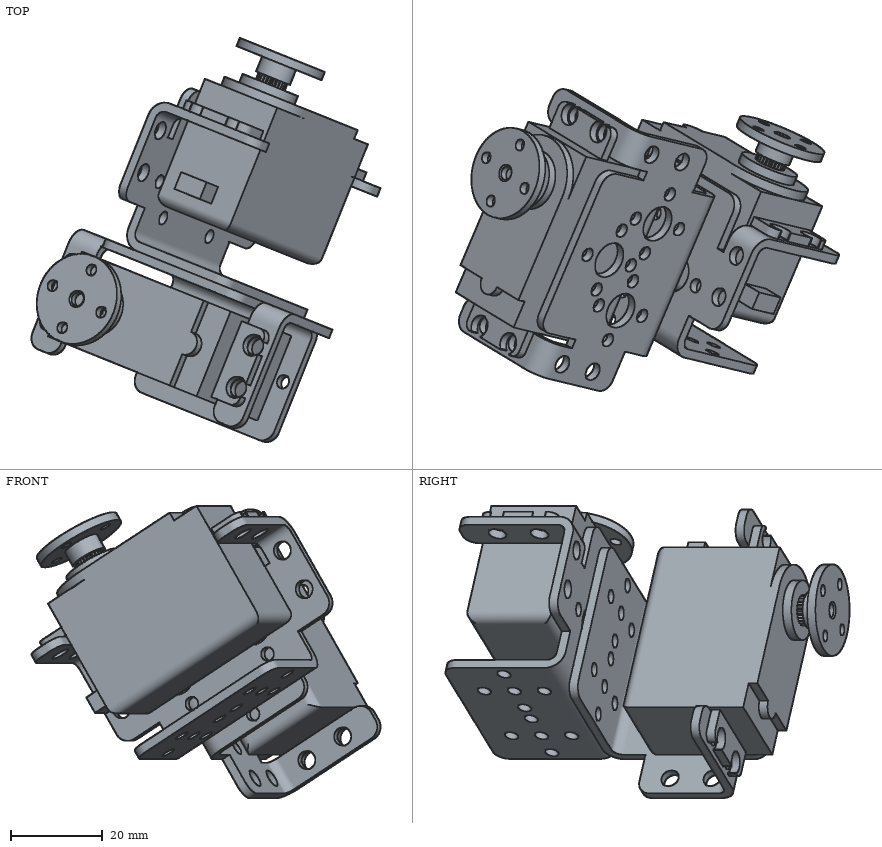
import math

import cadquery as cq


case_length = 40.85
case_width = 19.9
case_height = 29.0
case_fillet = 2.1
shaft_inset = 10.0
case_center_x = case_length / 2 - shaft_inset
cover_thickness = 2.0
cover_end_x = 24.65
cover_boss_diameter = 5.2
cable_block_width = 6.95
cable_block_height = 4.0
cable_block_length = 5.2
cable_block_z = 4.2

lug_top_z = 23.2
lug_thickness = 2.0
lug_span = 54.8
lug_width = 17.8
lug_corner_radius = 1.9
lug_hole_x = 25.4
lug_hole_diameter = 4.75
lug_slot_width = 3.0

collar_diameter = 13.0
collar_height = 2.0
spline_diameter = 6.8
spline_tooth_depth = 0.35
spline_teeth = 24
horn_top_z = 40.1
horn_thickness = 1.9
horn_diameter = 20.0
horn_hub_diameter = 8.0
horn_hub_length = 3.5
horn_hole_diameter = 2.5
horn_hole_radius = 7.0
horn_turn = -5.8
horn_center_hole = 3.0
horn_center_chamfer = 0.35

bracket_center_x = 10.1
sheet = 2.0
bend_radius = 2 * sheet
plate_gap = 2.55
plate_y = case_width / 2 + plate_gap + sheet
plate_width = 38.1
plate_top_z = 26.0
plate_corner_radius = 3.3
tab_span = 57.9
tab_bottom_z = -2.0
tab_corner_radius = 3.0
ear_width = 7.8
ear_end_y = -13.4
ear_top_z = lug_top_z - lug_thickness
relief_start_z = 14.1
flange_bottom_z = -11.4
flange_end_y = -13.7
flange_corner_radius = 3.1
mount_hole_diameter = 4.0
mount_hole_spacing = 9.9
mount_hole_x = 25.1
tab_hole_low_z = 5.0
small_hole_diameter = 3.0
large_hole_diameter = 8.0
ring_radius = 7.0
ring_low_x = 10.4
ring_low_z = 4.5
ring_high_z = 14.2
flange_ring_x = 9.3

tilt_angle = 31.4
turn_angle = 21.9

sides = (-1, 1)


def box(x_range, y_range, z_range):
    """Block between the given limits on each axis."""
    size = [end - start for start, end in (x_range, y_range, z_range)]
    corner = (x_range[0], y_range[0], z_range[0])
    return cq.Workplane("XY").box(*size, centered=False).translate(corner)


def cylinder(diameter, z_range):
    """Cylinder on the shaft axis between two heights."""
    start, end = z_range
    return cq.Workplane("XY").workplane(offset=start).circle(diameter / 2).extrude(end - start)


def ring_points(center, radius):
    """Four points spaced evenly around a center."""
    x, y = center
    return [(x + radius, y), (x, y + radius), (x - radius, y), (x, y - radius)]


def screw_points(x):
    """The four screw positions of the servo, two at each end."""
    return [(i * x, j * mount_hole_spacing / 2) for i in sides for j in sides]


def make_case():
    """Case with its raised cover and cable outlet."""
    half_width = case_width / 2
    case_x = (-shaft_inset, case_length - shaft_inset)
    case_y = (-half_width, half_width)
    case = box(case_x, case_y, (0, case_height))
    case = case.faces("<Z").edges().fillet(case_fillet)

    cover_z = (case_height, case_height + cover_thickness)
    case = case.union(cylinder(case_width, cover_z))
    case = case.union(box((0, cover_end_x), case_y, cover_z))
    case = case.union(cylinder(cover_boss_diameter, cover_z).translate((cover_end_x, 0, 0)))

    block_x = (-shaft_inset - cable_block_length, 0)
    block_y = (-cable_block_width / 2, cable_block_width / 2)
    return case.union(box(block_x, block_y, (cable_block_z, cable_block_z + cable_block_height)))


def make_lugs():
    """Lugs at both ends of the case, each with two holes that open to the lug's end."""
    lug_z = lug_top_z - lug_thickness
    hole_points = screw_points(lug_hole_x)
    slot_length = lug_span / 2 - lug_hole_x
    slot_points = [(x + math.copysign(slot_length / 2, x), y) for x, y in hole_points]
    plane = cq.Workplane("XY").workplane(offset=lug_z)
    lugs = plane.rect(lug_span, lug_width).extrude(lug_thickness).edges("|Z").fillet(lug_corner_radius)
    lugs = lugs.cut(plane.pushPoints(hole_points).circle(lug_hole_diameter / 2).extrude(lug_thickness))
    lugs = lugs.cut(plane.pushPoints(slot_points).rect(slot_length, lug_slot_width).extrude(lug_thickness))
    return lugs.translate((case_center_x, 0, 0))


def make_spline(z_range):
    """Toothed end of the output shaft."""
    start, end = z_range
    outer = spline_diameter / 2
    outline = []
    for i in range(2 * spline_teeth):
        radius = outer - spline_tooth_depth * (i % 2)
        angle = math.pi * i / spline_teeth
        outline.append((radius * math.cos(angle), radius * math.sin(angle)))
    return cq.Workplane("XY").workplane(offset=start).polyline(outline).close().extrude(end - start)


def make_horn():
    """Collar, toothed shaft and round horn, stacked on the cover."""
    disc_z = horn_top_z - horn_thickness
    hub_z = disc_z - horn_hub_length
    collar_z = case_height + cover_thickness
    horn = cylinder(horn_diameter, (disc_z, horn_top_z))
    holes = cq.Workplane("XY").workplane(offset=disc_z).pushPoints(ring_points((0, 0), horn_hole_radius))
    horn = horn.cut(holes.circle(horn_hole_diameter / 2).extrude(horn_thickness))
    horn = horn.rotate((0, 0, 0), (0, 0, 1), horn_turn)
    horn = horn.union(cylinder(horn_hub_diameter, (hub_z, disc_z)))
    horn = horn.cut(cylinder(horn_center_hole, (disc_z, horn_top_z)))
    horn = horn.faces(">Z").edges(cq.selectors.RadiusNthSelector(1)).chamfer(horn_center_chamfer)
    horn = horn.union(make_spline((collar_z, hub_z)))
    return horn.union(cylinder(collar_diameter, (collar_z, collar_z + collar_height)))


def bent_sheet(x_range, plate_end_z, face_z, end_y, corner_radius):
    """Sheet that leaves the plate through a round bend and runs toward -Y with its outer face at face_z."""
    up = 1 if face_z > plate_end_z else -1
    bend_y = plate_y - bend_radius
    bend_z = face_z - up * bend_radius
    inner = bend_radius - sheet
    diagonal = math.sqrt(0.5)
    outline = (
        cq.Workplane("YZ")
        .workplane(offset=x_range[0])
        .moveTo(plate_y, plate_end_z)
        .lineTo(plate_y, bend_z)
        .threePointArc(
            (bend_y + bend_radius * diagonal, bend_z + up * bend_radius * diagonal),
            (bend_y, face_z),
        )
        .lineTo(end_y, face_z)
        .lineTo(end_y, face_z - up * sheet)
        .lineTo(bend_y, face_z - up * sheet)
        .threePointArc(
            (bend_y + inner * diagonal, bend_z + up * inner * diagonal),
            (plate_y - sheet, bend_z),
        )
        .lineTo(plate_y - sheet, plate_end_z)
        .close()
    )
    body = outline.extrude(x_range[1] - x_range[0])
    return body.faces("<Y").edges("|Z").fillet(corner_radius)


def make_bracket():
    """Bent sheet-metal bracket with its hole pattern."""
    half_plate = plate_width / 2
    half_tab = tab_span / 2
    sheet_y = (plate_y - sheet, plate_y)

    plate = box((-half_plate, half_plate), sheet_y, (tab_bottom_z, plate_top_z))
    plate = plate.faces(">Z").edges("|Y").fillet(plate_corner_radius)
    tabs = box((-half_tab, half_tab), sheet_y, (tab_bottom_z, relief_start_z))
    tabs = tabs.faces("<Z").edges("|Y").fillet(tab_corner_radius)
    bracket = plate.union(tabs)

    for side in sides:
        ear_x = sorted((side * (half_tab - ear_width), side * half_tab))
        ear = bent_sheet(ear_x, relief_start_z, ear_top_z, ear_end_y, tab_corner_radius)
        bracket = bracket.union(ear)
    flange_x = (-half_plate, half_plate)
    flange = bent_sheet(flange_x, tab_bottom_z, flange_bottom_z, flange_end_y, flange_corner_radius)
    bracket = bracket.union(flange)

    ring_centers = [(-ring_low_x, ring_low_z), (0, ring_high_z), (ring_low_x, ring_low_z)]
    plate_small = [point for center in ring_centers for point in ring_points(center, ring_radius)]
    tab_z = (tab_hole_low_z, tab_hole_low_z + mount_hole_spacing)
    tab_points = [(side * mount_hole_x, z) for side in sides for z in tab_z]
    plate_plane = cq.Workplane("XZ").workplane(offset=-plate_y)
    for points, diameter in (
        (ring_centers, large_hole_diameter),
        (plate_small, small_hole_diameter),
        (tab_points, mount_hole_diameter),
    ):
        bracket = bracket.cut(plate_plane.pushPoints(points).circle(diameter / 2).extrude(sheet))

    ear_plane = cq.Workplane("XY").workplane(offset=ear_top_z - sheet)
    ear_holes = ear_plane.pushPoints(screw_points(mount_hole_x)).circle(mount_hole_diameter / 2)
    bracket = bracket.cut(ear_holes.extrude(sheet))

    flange_points = [(side * flange_ring_x, 0) for side in sides]
    for center in flange_points[:]:
        flange_points += ring_points(center, ring_radius)
    flange_plane = cq.Workplane("XY").workplane(offset=flange_bottom_z)
    flange_holes = flange_plane.pushPoints(flange_points).circle(small_hole_diameter / 2)
    bracket = bracket.cut(flange_holes.extrude(sheet))
    return bracket.translate((bracket_center_x, 0, 0))


servo = make_case().union(make_lugs()).union(make_horn())
unit = servo.union(make_bracket()).val()

second_origin = (
    bracket_center_x,
    plate_y - flange_bottom_z,
    ring_high_z - flange_ring_x + bracket_center_x,
)
second_plane = cq.Plane(origin=second_origin, xDir=(0, 0, -1), normal=(0, 1, 0))
pair = cq.Workplane(unit).union(cq.Workplane(unit.moved(cq.Location(second_plane))))

result = pair.rotate((0, 0, 0), (0, 1, 0), -tilt_angle).rotate((0, 0, 0), (0, 0, 1), -turn_angle)